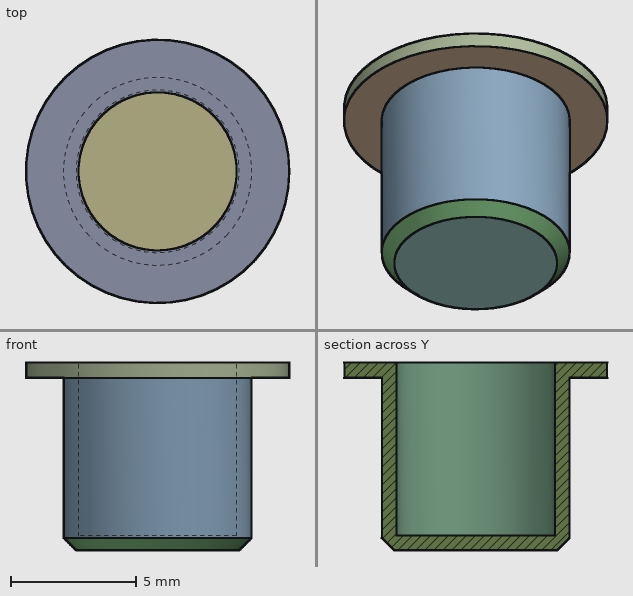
import cadquery as cq

flange_diameter = 10.5
body_diameter = 7.5
bore_diameter = 6.3
total_height = 7.5
flange_thickness = 0.62
chamfer_size = 0.5

floor_thickness = (body_diameter - bore_diameter) / 2

body = (
    cq.Workplane("XY")
    .circle(body_diameter / 2)
    .extrude(total_height)
    .faces("<Z")
    .edges()
    .chamfer(chamfer_size)
)

flange = (
    cq.Workplane("XY")
    .workplane(offset=total_height - flange_thickness)
    .circle(flange_diameter / 2)
    .extrude(flange_thickness)
)

bore = (
    cq.Workplane("XY")
    .workplane(offset=floor_thickness)
    .circle(bore_diameter / 2)
    .extrude(total_height - floor_thickness)
)

result = body.union(flange).cut(bore)